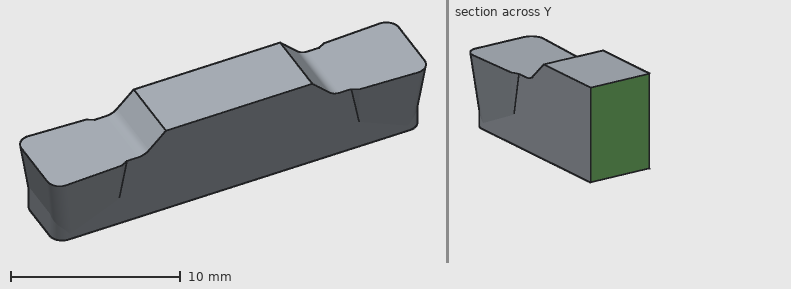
import cadquery as cq
import math

total_length = 24.88
total_height = 5.97
head_width = 5.05
body_width = 4.25
shelf_height = 4.61
corner_radius = 0.83

block_length = 9.65
ramp_angle = math.radians(44)
blend_radius = 1.0

end_relief = math.radians(7)
flank_relief = math.radians(5.15)
back_taper = math.radians(2.4)
end_land_height = 1.73

neck_distance = 4.59
neck_angle = math.radians(28)
neck_lean = math.radians(1.2)
neck_corner_radius = 0.2
neck_run = 1.2

half_length = total_length / 2
half_head = head_width / 2
half_body = body_width / 2
relief_depth = (shelf_height - end_land_height) * math.tan(end_relief)
half_body_length = half_length - relief_depth


def make_body():
    """Straight bar with rounded upright corners."""
    bar = cq.Workplane("XY").rect(body_width, 2 * half_body_length).extrude(shelf_height)
    return bar.edges("|Z").fillet(corner_radius)


def make_block():
    """Raised middle block whose ramps end in arcs tangent to the shelves."""
    block_end = block_length / 2
    ramp_foot = shelf_height + blend_radius * (1 - math.cos(ramp_angle))
    ramp_end = block_end + (total_height - ramp_foot) / math.tan(ramp_angle)
    blend_end = ramp_end + blend_radius * math.sin(ramp_angle)
    profile = (
        cq.Workplane("YZ")
        .moveTo(-blend_end, shelf_height)
        .radiusArc((-ramp_end, ramp_foot), -blend_radius)
        .lineTo(-block_end, total_height)
        .lineTo(block_end, total_height)
        .lineTo(ramp_end, ramp_foot)
        .radiusArc((blend_end, shelf_height), -blend_radius)
        .close()
    )
    return profile.extrude(half_body, both=True)


def head_outline(height):
    """Sharp corners of the -Y head where it is cut level at the given height."""
    below = shelf_height - height
    front_y = -half_length + below * math.tan(end_relief)
    neck_y = -half_length + neck_distance - below * math.tan(neck_lean)
    inner_y = neck_y + neck_run * math.cos(neck_angle)

    def flank_x(y):
        setback = y + half_length - corner_radius
        return half_head - setback * math.tan(back_taper) - below * math.tan(flank_relief)

    front_x = flank_x(front_y)
    neck_x = flank_x(neck_y)
    inner_x = neck_x - neck_run * math.sin(neck_angle)
    return [
        (front_x, front_y, height),
        (neck_x, neck_y, height),
        (inner_x, inner_y, height),
        (-inner_x, inner_y, height),
        (-neck_x, neck_y, height),
        (-front_x, front_y, height),
    ]


def ruled_solid(bottom, top):
    """Flat-faced solid between two outlines given as matching lists of corners."""
    corner_count = len(bottom)
    loops = [bottom, top]
    for i in range(corner_count):
        j = (i + 1) % corner_count
        loops.append([bottom[i], bottom[j], top[j], top[i]])
    faces = [cq.Face.makeFromWires(cq.Wire.makePolygon(loop, close=True)) for loop in loops]
    return cq.Workplane(cq.Solid.makeSolid(cq.Shell.makeShell(faces)))


def upright_edges(head):
    """Steep edges of the head, from the cutting edge inward, as left-right pairs."""
    return sorted(head.edges("not #Z").vals(), key=lambda edge: edge.Center().y)


def make_head():
    """Relieved head at the -Y end, fading into the body toward the base."""
    head = ruled_solid(head_outline(0), head_outline(shelf_height))
    neck_edges = upright_edges(head)[2:4]
    head = head.newObject(neck_edges).fillet(neck_corner_radius)
    front_edges = upright_edges(head)[:2]
    return head.newObject(front_edges).fillet(corner_radius)


head = make_head()
result = make_body().union(make_block()).union(head).union(head.mirror("XZ"))